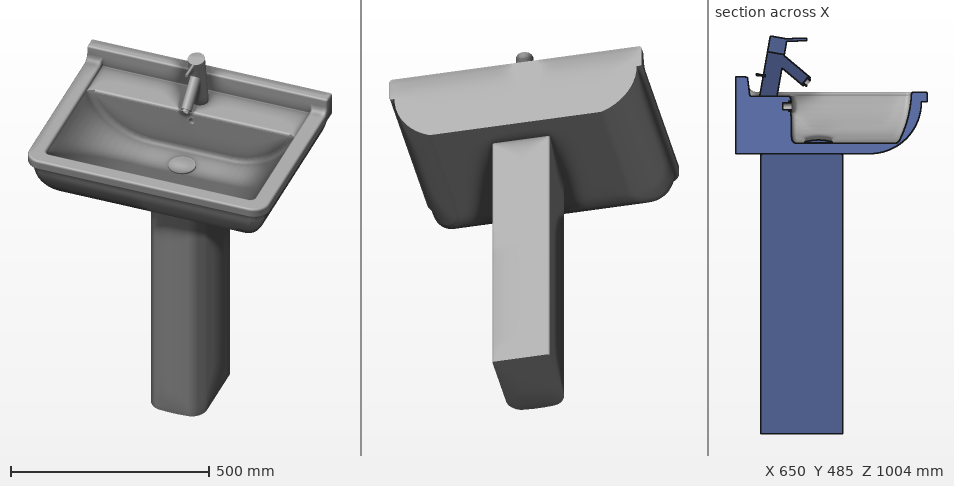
import cadquery as cq
import math


MARGIN = 1.0

BASIN_WIDTH = 650.0
BASIN_DEPTH = 485.0
BASIN_BOTTOM_Z = 706.0
RIM_BOTTOM_Z = 838.0
RIM_TOP_Z = 863.0
RIM_CORNER_RADIUS = 42.0
RIM_EDGE_ROUND = 6.0
RIM_LOWER_ROUND = 3.0
SPLASH_TOP_Z = 901.0
SPLASH_THICKNESS = 31.0
SPLASH_SLOPE = 0.12
SPLASH_FOOT_RADIUS = 19.0

SHELL_SIDE_INSET = 12.0
SHELL_FRONT_INSET = 15.0
SHELL_SIDE_RADIUS = 141.0
SHELL_FRONT_RADIUS = RIM_BOTTOM_Z - BASIN_BOTTOM_Z
SHELL_CORNER_RADIUS = 28.0

OPENING_HALF_WIDTH = 281.0
OPENING_FRONT_Y = -444.0
OPENING_ROUND = 7.0
DECK_Z = 853.0
SPLASH_DECK_ROUND = 3.0
DECK_SIDE_ROUND = 2.0
DECK_EDGE_ROUND = 7.0
DECK_LIP_INSET = 18.0
BOWL_FLOOR_Z = 733.0
BOWL_FLOOR_HALF_WIDTH = 107.0
BOWL_BACK_TOP_Y = -140.0
BOWL_BACK_RUN = 3.0
BOWL_FRONT_RUN = 34.0
BOWL_FRONT_BULGE = 8.0
BOWL_EDGE_RADIUS = 14.0

PEDESTAL_HALF_WIDTH = 74.0
PEDESTAL_BACK_Y = -63.0
PEDESTAL_SIDE_END_Y = -228.0
PEDESTAL_SHOULDER = (58.0, -262.0)
PEDESTAL_FRONT_END = (38.0, -270.0)
PEDESTAL_CROWN_Y = -272.0
PEDESTAL_SIDE_RADIUS = 44.0
PEDESTAL_FRONT_RADIUS = 35.0
PEDESTAL_BACK_ROUND = 5.0
PEDESTAL_TOP_ROUND = 5.0

TAP_TILT = 10.0
TAP_BASE_Y = -83.0
TAP_DIAMETER = 44.0
TAP_TOP_Z = 1004.0
CAP_LENGTH = 40.0
CAP_TOP_ROUND = 1.0
LEVER_DIAMETER = 8.0
LEVER_RISE = 2.0
LEVER_TIP_Z = 995.0
LEVER_TIP_Y = -181.0
SPOUT_DIAMETER = 28.0
SPOUT_DROP = 40.0
SPOUT_TIP_Y = -181.0
SPOUT_TIP_Z = 888.0
SPOUT_REACH_SHARE = 0.8
BARREL_OVERRUN = 10.0
TRIM_SIZE = 201.0
TRIM_DEPTH = 50.0
AERATOR_DIAMETER = 20.0
AERATOR_BORE = 15.0
AERATOR_LENGTH = 6.0
AERATOR_SEAT_DEPTH = 5.0
ROD_Z = 900.0
ROD_DIAMETER = 4.0
ROD_SEAT_DEPTH = 5.0
ROD_REACH = 40.0
KNOB_DIAMETER = 6.0
KNOB_LENGTH = 5.0

WASTE_Y = -210.0
FLANGE_DIAMETER = 70.0
FLANGE_HEIGHT = 5.0
FLANGE_ROUND = 2.5
PLUG_DIAMETER = 60.0
PLUG_SEAT_HEIGHT = 2.0
PLUG_CROWN = 4.0
OVERFLOW_Z = 827.0
OVERFLOW_DIAMETER = 25.0
OVERFLOW_BORE = 16.0
OVERFLOW_PROUD = 1.0
OVERFLOW_SEAT_DEPTH = 5.0
OVERFLOW_BORE_DEPTH = 20.0


def zone(low, high):
    """Selector for edges whose centres lie in the closed box from low to high."""
    return cq.selectors.BoxSelector([v - MARGIN for v in low], [v + MARGIN for v in high])


def side_profile():
    """Workplane for outlines given as (y, z), centred for extruding both ways along X."""
    return cq.Workplane("YZ")


def splash_face_y(z):
    return -SPLASH_THICKNESS - SPLASH_SLOPE * (SPLASH_TOP_Z - z)


def make_rim():
    """Flat rim slab with the raised splashback along the wall."""
    foot_y = splash_face_y(RIM_TOP_Z)
    outline = [
        (0, RIM_BOTTOM_Z),
        (0, SPLASH_TOP_Z),
        (-SPLASH_THICKNESS, SPLASH_TOP_Z),
        (foot_y, RIM_TOP_Z),
        (-BASIN_DEPTH, RIM_TOP_Z),
        (-BASIN_DEPTH, RIM_BOTTOM_Z),
    ]
    rim = side_profile().polyline(outline).close().extrude(BASIN_WIDTH / 2, both=True)
    rim = rim.edges("|Z and <Y").fillet(RIM_CORNER_RADIUS)
    foot = cq.selectors.NearestToPointSelector((0, foot_y, RIM_TOP_Z))
    rim = rim.edges(foot).fillet(SPLASH_FOOT_RADIUS)

    half = BASIN_WIDTH / 2
    front = -BASIN_DEPTH
    foot_front_y = foot_y - SPLASH_FOOT_RADIUS
    lower_edges = zone((-half, front, RIM_BOTTOM_Z), (half, -2 * MARGIN, RIM_BOTTOM_Z))
    rim = rim.edges(lower_edges).fillet(RIM_LOWER_ROUND)
    outer_edges = zone((-half, front, RIM_TOP_Z), (half, -2 * MARGIN, SPLASH_TOP_Z))
    foot_tangents = zone((0, foot_front_y, RIM_TOP_Z), (0, 0, SPLASH_TOP_Z - 2 * MARGIN))
    return rim.edges(outer_edges - foot_tangents).fillet(RIM_EDGE_ROUND)


def make_shell():
    """Rounded underside: a cross profile and a side profile intersected."""
    half = BASIN_WIDTH / 2 - SHELL_SIDE_INSET
    depth = RIM_BOTTOM_Z - BASIN_BOTTOM_Z
    r = SHELL_SIDE_RADIUS
    end_angle = math.asin(depth / r)
    bottom_half = half - r + r * math.cos(end_angle)
    mid_x = half - r + r * math.cos(end_angle / 2)
    mid_z = RIM_BOTTOM_Z - r * math.sin(end_angle / 2)
    cross = (
        cq.Workplane("XZ")
        .moveTo(-half, RIM_BOTTOM_Z)
        .threePointArc((-mid_x, mid_z), (-bottom_half, BASIN_BOTTOM_Z))
        .lineTo(bottom_half, BASIN_BOTTOM_Z)
        .threePointArc((mid_x, mid_z), (half, RIM_BOTTOM_Z))
        .close()
        .extrude(BASIN_DEPTH)
    )
    front_y = -BASIN_DEPTH + SHELL_FRONT_INSET
    lengthwise = (
        side_profile()
        .moveTo(0, RIM_BOTTOM_Z)
        .lineTo(front_y, RIM_BOTTOM_Z)
        .radiusArc((front_y + SHELL_FRONT_RADIUS, BASIN_BOTTOM_Z), -SHELL_FRONT_RADIUS)
        .lineTo(0, BASIN_BOTTOM_Z)
        .close()
        .extrude(BASIN_WIDTH / 2, both=True)
    )
    shell = cross.intersect(lengthwise)
    corners = zone((-half, front_y, BASIN_BOTTOM_Z + 10), (half, -SHELL_FRONT_RADIUS, RIM_BOTTOM_Z - 10))
    return shell.edges(corners).fillet(SHELL_CORNER_RADIUS)


def make_deck_recess():
    """Space above the tap deck, its back flush with the splashback and overlapping the bowl."""
    front_y = BOWL_BACK_TOP_Y - 2 * BOWL_EDGE_RADIUS
    outline = [
        (-SPLASH_THICKNESS, SPLASH_TOP_Z),
        (splash_face_y(DECK_Z), DECK_Z),
        (front_y, DECK_Z),
        (front_y, SPLASH_TOP_Z),
    ]
    recess = side_profile().polyline(outline).close().extrude(OPENING_HALF_WIDTH, both=True)
    recess = recess.faces("<Z").edges(">Y").fillet(SPLASH_DECK_ROUND)
    return recess.faces("<Z").edges("|Y").fillet(DECK_SIDE_ROUND)


def make_deck_lip():
    """Cutter that rounds the edge where the deck drops into the bowl."""
    r = DECK_EDGE_ROUND
    return (
        side_profile()
        .moveTo(BOWL_BACK_TOP_Y + r, DECK_Z)
        .radiusArc((BOWL_BACK_TOP_Y, DECK_Z - r), -r)
        .lineTo(BOWL_BACK_TOP_Y - r, DECK_Z - r)
        .lineTo(BOWL_BACK_TOP_Y - r, DECK_Z)
        .close()
        .extrude(OPENING_HALF_WIDTH - DECK_LIP_INSET, both=True)
    )


def make_bowl():
    """Cutter for the bowl: flat floor, arched sides, leaning back and bowed front wall."""
    half = OPENING_HALF_WIDTH
    flat = BOWL_FLOOR_HALF_WIDTH
    rise = DECK_Z - BOWL_FLOOR_Z
    run = half - flat
    r = (run**2 + rise**2) / (2 * rise)
    cross = (
        cq.Workplane("XZ")
        .moveTo(-flat, BOWL_FLOOR_Z)
        .lineTo(flat, BOWL_FLOOR_Z)
        .radiusArc((half, DECK_Z), -r)
        .lineTo(half, RIM_TOP_Z)
        .lineTo(-half, RIM_TOP_Z)
        .lineTo(-half, DECK_Z)
        .radiusArc((-flat, BOWL_FLOOR_Z), -r)
        .close()
        .extrude(BASIN_DEPTH)
    )
    floor_front_y = OPENING_FRONT_Y + BOWL_FRONT_RUN
    front_mid_y = (OPENING_FRONT_Y + floor_front_y) / 2 - BOWL_FRONT_BULGE
    front_mid_z = (RIM_TOP_Z + BOWL_FLOOR_Z) / 2
    lengthwise = (
        side_profile()
        .moveTo(BOWL_BACK_TOP_Y, RIM_TOP_Z)
        .lineTo(BOWL_BACK_TOP_Y - BOWL_BACK_RUN, BOWL_FLOOR_Z)
        .lineTo(floor_front_y, BOWL_FLOOR_Z)
        .threePointArc((front_mid_y, front_mid_z), (OPENING_FRONT_Y, RIM_TOP_Z))
        .close()
        .extrude(half, both=True)
    )
    bowl = cross.intersect(lengthwise)
    bowl = bowl.faces(">Y").edges("not >Z").fillet(BOWL_EDGE_RADIUS)
    front_edges = zone(
        (-half, OPENING_FRONT_Y - MARGIN, BOWL_FLOOR_Z),
        (half, floor_front_y, RIM_TOP_Z - 2 * MARGIN),
    ) - zone((-half, OPENING_FRONT_Y / 2, DECK_Z), (half, OPENING_FRONT_Y / 2, RIM_TOP_Z))
    return bowl.edges(front_edges).fillet(BOWL_EDGE_RADIUS)


def overflow_plane():
    """Plane on the bowl's back wall at the overflow, normal pointing into the bowl."""
    lean = BOWL_BACK_RUN / (RIM_TOP_Z - BOWL_FLOOR_Z)
    wall_y = BOWL_BACK_TOP_Y - lean * (RIM_TOP_Z - OVERFLOW_Z)
    return cq.Plane(origin=(0, wall_y, OVERFLOW_Z), xDir=(1, 0, 0), normal=(0, -1, lean))


def make_basin():
    basin = make_rim().union(make_shell())
    basin = basin.cut(make_deck_recess()).cut(make_bowl()).cut(make_deck_lip())
    half = OPENING_HALF_WIDTH
    opening_edges = zone((-half, OPENING_FRONT_Y, RIM_TOP_Z), (half, -SPLASH_THICKNESS, RIM_TOP_Z))
    foot_front = zone((-half, -60, RIM_TOP_Z), (half, 0, RIM_TOP_Z))
    basin = basin.edges(opening_edges - foot_front).fillet(OPENING_ROUND)

    wall = overflow_plane()
    seat = cq.Workplane(wall).circle(OVERFLOW_DIAMETER / 2).extrude(-OVERFLOW_SEAT_DEPTH)
    drain = cq.Workplane(wall).circle(OVERFLOW_BORE / 2).extrude(-OVERFLOW_BORE_DEPTH)
    return basin.cut(seat).cut(drain)


def make_pedestal():
    """Flat-sided column whose front corners each blend through two arcs into a slight crown."""
    half = PEDESTAL_HALF_WIDTH
    shoulder_x, shoulder_y = PEDESTAL_SHOULDER
    front_x, front_y = PEDESTAL_FRONT_END
    column = (
        cq.Workplane("XY")
        .moveTo(-half, PEDESTAL_BACK_Y)
        .lineTo(-half, PEDESTAL_SIDE_END_Y)
        .radiusArc((-shoulder_x, shoulder_y), -PEDESTAL_SIDE_RADIUS)
        .radiusArc((-front_x, front_y), -PEDESTAL_FRONT_RADIUS)
        .threePointArc((0, PEDESTAL_CROWN_Y), (front_x, front_y))
        .radiusArc((shoulder_x, shoulder_y), -PEDESTAL_FRONT_RADIUS)
        .radiusArc((half, PEDESTAL_SIDE_END_Y), -PEDESTAL_SIDE_RADIUS)
        .lineTo(half, PEDESTAL_BACK_Y)
        .close()
        .extrude(BASIN_BOTTOM_Z)
    )
    column = column.edges("|Z and >Y").fillet(PEDESTAL_BACK_ROUND)
    return column.faces(">Z").edges().fillet(PEDESTAL_TOP_ROUND)


TILT = math.radians(TAP_TILT)
TAP_AXIS = cq.Vector(0, -math.sin(TILT), math.cos(TILT))
TAP_BASE = cq.Vector(0, TAP_BASE_Y, DECK_Z)
CAP_TOP_RADIUS = TAP_DIAMETER / 2 - CAP_TOP_ROUND
TAP_LENGTH = (TAP_TOP_Z - DECK_Z - CAP_TOP_RADIUS * math.sin(TILT)) / math.cos(TILT)


def on_tap_axis(distance):
    """Plane square to the tap axis, the given distance up from the deck."""
    return cq.Plane(origin=TAP_BASE + TAP_AXIS * distance, xDir=(1, 0, 0), normal=TAP_AXIS)


def rod_plane(distance):
    """Plane square to the lift rod, the given distance behind the tap axis."""
    along = (ROD_Z - DECK_Z) / math.cos(TILT)
    backwards = cq.Vector(0, math.cos(TILT), math.sin(TILT))
    origin = TAP_BASE + TAP_AXIS * along + backwards * distance
    return cq.Plane(origin=origin, xDir=(1, 0, 0), normal=backwards)


def spout_tip_plane():
    """Plane on the spout's end, normal pointing out of the spout."""
    drop = math.radians(SPOUT_DROP)
    return cq.Plane(
        origin=(0, SPOUT_TIP_Y, SPOUT_TIP_Z),
        xDir=(1, 0, 0),
        normal=(0, -math.cos(drop), -math.sin(drop)),
    )


def make_lift_rod():
    """Pop-up waste rod with its knob, square to the tap axis, ending in the tap body."""
    start = TAP_DIAMETER / 2 - ROD_SEAT_DEPTH
    rod = cq.Workplane(rod_plane(start)).circle(ROD_DIAMETER / 2).extrude(ROD_REACH - start)
    knob = cq.Workplane(rod_plane(ROD_REACH)).circle(KNOB_DIAMETER / 2).extrude(-KNOB_LENGTH)
    return rod.union(knob)


def make_tap_body(lift_rod):
    """Leaning barrel with its spout, standing on the deck."""
    barrel_length = TAP_LENGTH - CAP_LENGTH + BARREL_OVERRUN
    barrel = cq.Workplane(on_tap_axis(-BARREL_OVERRUN)).circle(TAP_DIAMETER / 2).extrude(barrel_length)
    below_deck = (
        cq.Workplane("XY", origin=(0, TAP_BASE_Y, DECK_Z))
        .rect(TRIM_SIZE, TRIM_SIZE)
        .extrude(-TRIM_DEPTH)
    )
    tip = spout_tip_plane()
    run_to_foot = (TAP_BASE_Y - SPOUT_TIP_Y) / math.cos(math.radians(SPOUT_DROP))
    spout = cq.Workplane(tip).circle(SPOUT_DIAMETER / 2).extrude(-run_to_foot * SPOUT_REACH_SHARE)
    seat = cq.Workplane(tip).circle(AERATOR_DIAMETER / 2).extrude(-AERATOR_SEAT_DEPTH)
    return barrel.cut(below_deck).union(spout).cut(seat).cut(lift_rod)


def make_aerator():
    return (
        cq.Workplane(spout_tip_plane())
        .workplane(offset=-AERATOR_SEAT_DEPTH)
        .circle(AERATOR_DIAMETER / 2)
        .circle(AERATOR_BORE / 2)
        .extrude(AERATOR_SEAT_DEPTH + AERATOR_LENGTH)
    )


def make_handle():
    """Cap on top of the barrel with its slightly rising pin lever."""
    cap = cq.Workplane(on_tap_axis(TAP_LENGTH - CAP_LENGTH)).circle(TAP_DIAMETER / 2).extrude(CAP_LENGTH)
    cap = cap.faces(">Z").edges().fillet(CAP_TOP_ROUND)
    rise = math.radians(LEVER_RISE)
    axis_y = TAP_BASE_Y - (LEVER_TIP_Z - DECK_Z) * math.tan(TILT)
    start_y = axis_y - TAP_DIAMETER / 4
    inward = (0, math.cos(rise), -math.sin(rise))
    tip = cq.Plane(origin=(0, LEVER_TIP_Y, LEVER_TIP_Z), xDir=(1, 0, 0), normal=inward)
    lever_length = (start_y - LEVER_TIP_Y) / math.cos(rise)
    lever = cq.Workplane(tip).circle(LEVER_DIAMETER / 2).extrude(lever_length)
    return cap.union(lever)


def make_waste_flange():
    """Ring on the bowl floor with a seat for the plug."""
    flange = (
        cq.Workplane("XY", origin=(0, WASTE_Y, BOWL_FLOOR_Z))
        .circle(FLANGE_DIAMETER / 2)
        .extrude(FLANGE_HEIGHT)
        .faces(">Z")
        .edges()
        .fillet(FLANGE_ROUND)
    )
    seat = (
        cq.Workplane("XY", origin=(0, WASTE_Y, BOWL_FLOOR_Z + PLUG_SEAT_HEIGHT))
        .circle(PLUG_DIAMETER / 2)
        .extrude(FLANGE_HEIGHT)
    )
    return flange.cut(seat)


def make_waste_plug():
    """Domed plug, filling the flange seat."""
    edge_r = PLUG_DIAMETER / 2
    rim_height = FLANGE_HEIGHT - PLUG_SEAT_HEIGHT
    dome_r = (edge_r**2 + PLUG_CROWN**2) / (2 * PLUG_CROWN)
    return (
        cq.Workplane("XZ", origin=(0, WASTE_Y, BOWL_FLOOR_Z + PLUG_SEAT_HEIGHT))
        .lineTo(edge_r, 0)
        .lineTo(edge_r, rim_height)
        .radiusArc((0, rim_height + PLUG_CROWN), -dome_r)
        .close()
        .revolve(360, (0, 0, 0), (0, 1, 0))
    )


def make_overflow_ring():
    return (
        cq.Workplane(overflow_plane())
        .workplane(offset=-OVERFLOW_SEAT_DEPTH)
        .circle(OVERFLOW_DIAMETER / 2)
        .circle(OVERFLOW_BORE / 2)
        .extrude(OVERFLOW_SEAT_DEPTH + OVERFLOW_PROUD)
    )


basin = make_basin()
pedestal = make_pedestal()
lift_rod = make_lift_rod()
tap_body = make_tap_body(lift_rod)
aerator = make_aerator()
handle = make_handle()
waste_flange = make_waste_flange()
waste_plug = make_waste_plug()
overflow_ring = make_overflow_ring()

bodies = [
    basin, pedestal, tap_body, aerator, handle, lift_rod, waste_flange, waste_plug, overflow_ring,
]
result = cq.Compound.makeCompound([body.val() for body in bodies])